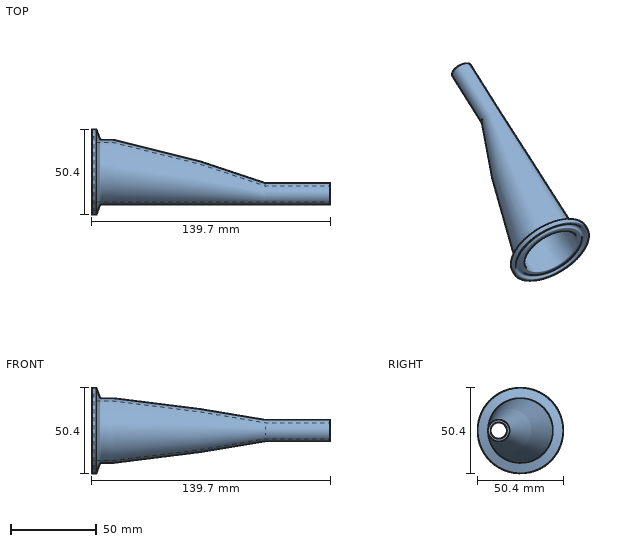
import cadquery as cq
import math

wall = 1.65
large_diameter = 38.1
middle_diameter = 25.4
small_diameter = 12.7

ferrule_length = 12.7
first_cone_length = 50.8
second_cone_length = 38.1
small_tube_length = 38.1

flange_diameter = 50.39
rim_width = 2.7
flange_slope_angle = 20.0
neck_fillet = 0.8
groove_diameter = 43.6
groove_width = 2.8
groove_depth = 1.2
groove_lip_fillet = 0.6

bore_fillet = 0.3
rim_fillet = 0.2

edge_match = 1e-4

first_cone_start = ferrule_length
second_cone_start = first_cone_start + first_cone_length
small_tube_start = second_cone_start + second_cone_length


def axis_y(diameter):
    """Y of a section's centre, with all the sections flush along the -Y side."""
    return (diameter - large_diameter) / 2


def section(x, diameter, inset):
    """Circle across X, smaller in radius than the tube by the inset."""
    return cq.Workplane("YZ", origin=(x, axis_y(diameter), 0)).circle(diameter / 2 - inset)


def tube(start, length, diameter, inset):
    """Straight cylinder along X."""
    return section(start, diameter, inset).extrude(length)


def cone(start, length, start_diameter, end_diameter, inset):
    """Eccentric cone between two circular sections."""
    start_wire = section(start, start_diameter, inset).wires().val()
    end_wire = section(start + length, end_diameter, inset).wires().val()
    return cq.Workplane(obj=cq.Solid.makeLoft([start_wire, end_wire], True))


def tapered_body(inset):
    """Whole length of the reducer, offset inwards by the inset."""
    ferrule = tube(0, ferrule_length, large_diameter, inset)
    first_cone = cone(first_cone_start, first_cone_length, large_diameter, middle_diameter, inset)
    second_cone = cone(second_cone_start, second_cone_length, middle_diameter, small_diameter, inset)
    small_tube = tube(small_tube_start, small_tube_length, small_diameter, inset)
    return ferrule.union(first_cone).union(second_cone).union(small_tube)


def clamp_flange():
    """Revolved flange whose sloped back blends into the ferrule neck."""
    flange_radius = flange_diameter / 2
    neck_radius = large_diameter / 2
    slope = math.radians(flange_slope_angle)
    slope_end = rim_width + (flange_radius - neck_radius) * math.tan(slope)

    tangent_length = neck_fillet * math.tan((math.pi / 2 - slope) / 2)
    blend_start = (
        slope_end - tangent_length * math.sin(slope),
        neck_radius + tangent_length * math.cos(slope),
    )
    blend_end = (slope_end + tangent_length, neck_radius)

    return (
        cq.Workplane("XY")
        .lineTo(0, flange_radius)
        .lineTo(rim_width, flange_radius)
        .lineTo(*blend_start)
        .tangentArcPoint(blend_end, relative=False)
        .lineTo(blend_end[0], 0)
        .close()
        .revolve(360, (0, 0, 0), (1, 0, 0))
    )


def gasket_groove():
    """Ring with an arc-shaped section, sunk into the flange face."""
    groove_radius = groove_diameter / 2
    half_width = groove_width / 2
    return (
        cq.Workplane("XY")
        .moveTo(0, groove_radius - half_width)
        .threePointArc((groove_depth, groove_radius), (0, groove_radius + half_width))
        .close()
        .revolve(360, (0, 0, 0), (1, 0, 0))
    )


def round_face_edge(body, diameter, radius):
    """Round the circular edge of the given diameter on the flange face."""
    face_edges = body.faces("<X").edges("%CIRCLE").vals()
    chosen = [edge for edge in face_edges if math.isclose(2 * edge.radius(), diameter, rel_tol=edge_match)]
    return body.newObject(chosen).fillet(radius)


result = tapered_body(0).union(clamp_flange()).cut(tapered_body(wall)).cut(gasket_groove())
for lip_diameter in (groove_diameter - groove_width, groove_diameter + groove_width):
    result = round_face_edge(result, lip_diameter, groove_lip_fillet)
result = round_face_edge(result, large_diameter - 2 * wall, bore_fillet)
result = round_face_edge(result, flange_diameter, rim_fillet)